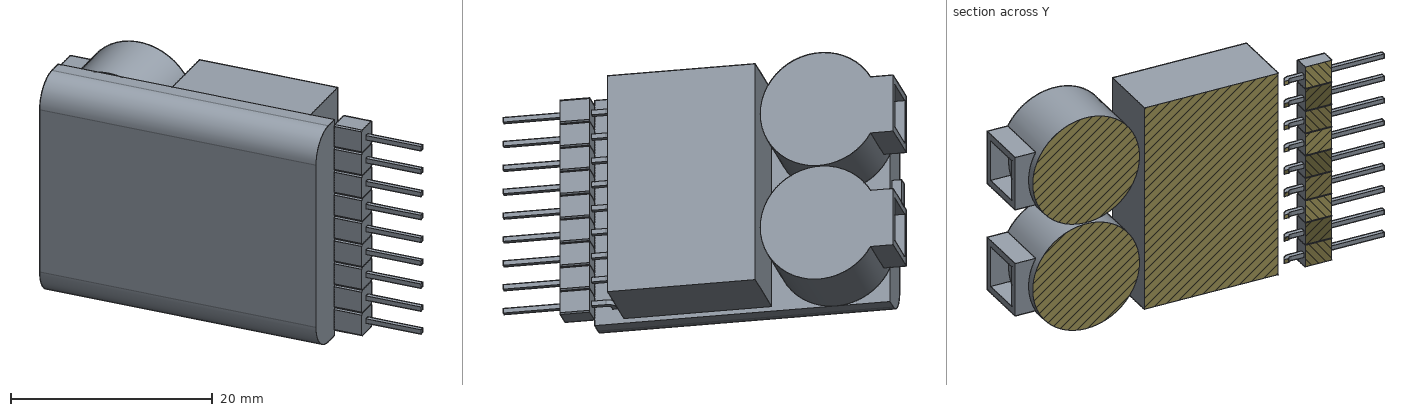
import cadquery as cq

base_length = 30.0
base_height = 24.0
base_thickness = 4.5
base_round = 3.0

back_depth = 7.5
back_y = base_thickness + back_depth

drum_diameter = 12.0
drum_radius = drum_diameter / 2
drum_pitch = 12.1
drum_x = 5.5
drum_heights = [drum_radius, drum_radius + drum_pitch]

socket_size = 6.0
socket_wall = 0.75
socket_overhang = 2.0
opening_size = socket_size - 2 * socket_wall

slot_width = 1.0
slot_depth = 2.5

block_length = 15.0
block_height = 23.0
block_x = 12.0

tab_length = 1.0
tab_height = 2.5
tab_thickness = 1.25
tab_y = 3.0

pin_count = 9
pin_pitch = 2.55
insulator_length = 3.0
insulator_size = 2.5
insulator_chamfer = 0.145
pin_size = 0.5
pin_reach = 6.0
pin_foot_x = 27.92
pin_bend_radius = 0.6

pin_height = 1.15
pin_y = base_thickness + pin_height


def corner_box(x_size, y_size, z_size, x, y, z):
    """Box with its low X and Y sides at x and y, centred in height on z."""
    return (
        cq.Workplane("XY")
        .box(x_size, y_size, z_size, centered=(False, False, True))
        .translate((x, y, z))
    )


def make_base():
    base = corner_box(base_length, base_thickness, base_height, 0, 0, base_height / 2)
    return base.edges("|X and <Y").fillet(base_round)


def make_drum(z):
    return (
        cq.Workplane("XZ", origin=(drum_x, back_y, z))
        .circle(drum_radius)
        .extrude(back_depth)
    )


def make_drum_with_socket(z):
    """Drum with a hollow square socket; a narrow slot runs from the socket into the drum."""
    drum = make_drum(z)
    socket_y = back_y - socket_size
    opening_y = socket_y + socket_wall
    socket_reach = drum_x + socket_overhang
    socket = corner_box(socket_reach, socket_size, socket_size, -socket_overhang, socket_y, z)
    opening = corner_box(socket_reach, opening_size, opening_size, -socket_overhang, opening_y, z)
    slot = corner_box(
        slot_depth,
        slot_width,
        opening_size,
        -socket_overhang,
        opening_y + opening_size - slot_width,
        z,
    )
    return socket.cut(opening).union(drum).cut(slot)


def make_module():
    module = make_base()
    for z in drum_heights:
        module = module.union(make_drum_with_socket(z))
    middle_z = base_height / 2
    block = corner_box(block_length, back_depth, block_height, block_x, base_thickness, middle_z)
    tab_front_y = tab_y - tab_thickness / 2
    tab = corner_box(tab_length, tab_thickness, tab_height, -tab_length, tab_front_y, middle_z)
    return module.union(block).union(tab)


def make_header_pin(z):
    """Square insulator with a square pin through it, bent down onto the base."""
    insulator = (
        corner_box(insulator_length, insulator_size, insulator_size, base_length, pin_y - insulator_size / 2, z)
        .edges("|X")
        .chamfer(insulator_chamfer)
    )
    path = (
        cq.Workplane("XY", origin=(0, 0, z))
        .moveTo(pin_foot_x, base_thickness)
        .lineTo(pin_foot_x, pin_y - pin_bend_radius)
        .radiusArc((pin_foot_x + pin_bend_radius, pin_y), pin_bend_radius)
        .lineTo(base_length + insulator_length + pin_reach, pin_y)
    )
    pin = (
        cq.Workplane("XZ", origin=(pin_foot_x, base_thickness, z))
        .rect(pin_size, pin_size)
        .sweep(path)
    )
    return insulator.union(pin)


module = make_module()

header_pins = []
for index in range(pin_count):
    pin_z = base_height / 2 + (index - (pin_count - 1) / 2) * pin_pitch
    header_pins.append(make_header_pin(pin_z).val())

result = cq.Compound.makeCompound([module.val(), *header_pins])